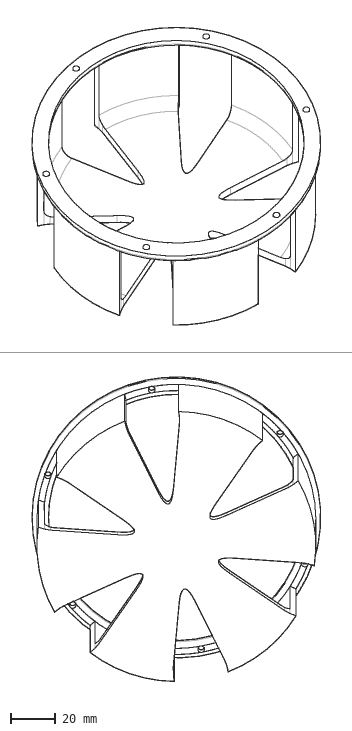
import cadquery as cq
import math

height = 53.8
flange_radius = 65.0
flange_thickness = 5.1
flange_edge_fillet = 2.5
opening_diameter = 115.0

drum_radius = 62.8
wall_thickness = 2.9
floor_thickness = 5.1
floor_fillet = 5.1
inner_radius = drum_radius - wall_thickness
flange_bottom = height - flange_thickness

slot_count = 6
first_angle = 90.0
slot_half_angle = 15.5
slot_apex_distance = 13.5
slot_tip_distance = 20.2
slot_shoulder_distance = 55.9
slot_inner_half_width = 12.2
slot_outer_half_width = 12.4

hole_diameter = 3.0
hole_circle_radius = 61.4


def slot_cutter(angle):
    """Wedge along +X with a parabolic tip and a nearly parallel mouth, turned to the given angle."""
    taper = math.tan(math.radians(slot_half_angle))
    flank_start = 2 * slot_tip_distance - slot_apex_distance
    tip_half_width = (flank_start - slot_apex_distance) * taper
    shoulder_half_width = (slot_shoulder_distance - slot_apex_distance) * taper
    wall_start = math.sqrt(inner_radius**2 - slot_inner_half_width**2)
    return (
        cq.Workplane("XY")
        .moveTo(flank_start, tip_half_width)
        .bezier(
            [(slot_apex_distance, 0), (flank_start, -tip_half_width)],
            includeCurrent=True,
        )
        .lineTo(slot_shoulder_distance, -shoulder_half_width)
        .lineTo(wall_start, -slot_inner_half_width)
        .lineTo(drum_radius, -slot_outer_half_width)
        .lineTo(drum_radius, slot_outer_half_width)
        .lineTo(wall_start, slot_inner_half_width)
        .lineTo(slot_shoulder_distance, shoulder_half_width)
        .close()
        .extrude(flange_bottom)
        .rotate((0, 0, 0), (0, 0, 1), angle)
    )


cavity = (
    cq.Workplane("XY", origin=(0, 0, floor_thickness))
    .circle(inner_radius)
    .extrude(height - floor_thickness)
    .faces("<Z")
    .edges()
    .fillet(floor_fillet)
)
cup = cq.Workplane("XY").circle(drum_radius).extrude(height).cut(cavity)

for index in range(slot_count):
    cup = cup.cut(slot_cutter(first_angle + index * 360 / slot_count))

flange = (
    cq.Workplane("XY", origin=(0, 0, flange_bottom))
    .circle(flange_radius)
    .circle(opening_diameter / 2)
    .extrude(flange_thickness)
    .faces("<Z")
    .edges()
    .fillet(flange_edge_fillet)
)

holes = (
    cq.Workplane("XY", origin=(0, 0, flange_bottom))
    .polarArray(hole_circle_radius, first_angle, 360, slot_count)
    .circle(hole_diameter / 2)
    .extrude(flange_thickness)
)

result = cup.union(flange).cut(holes)